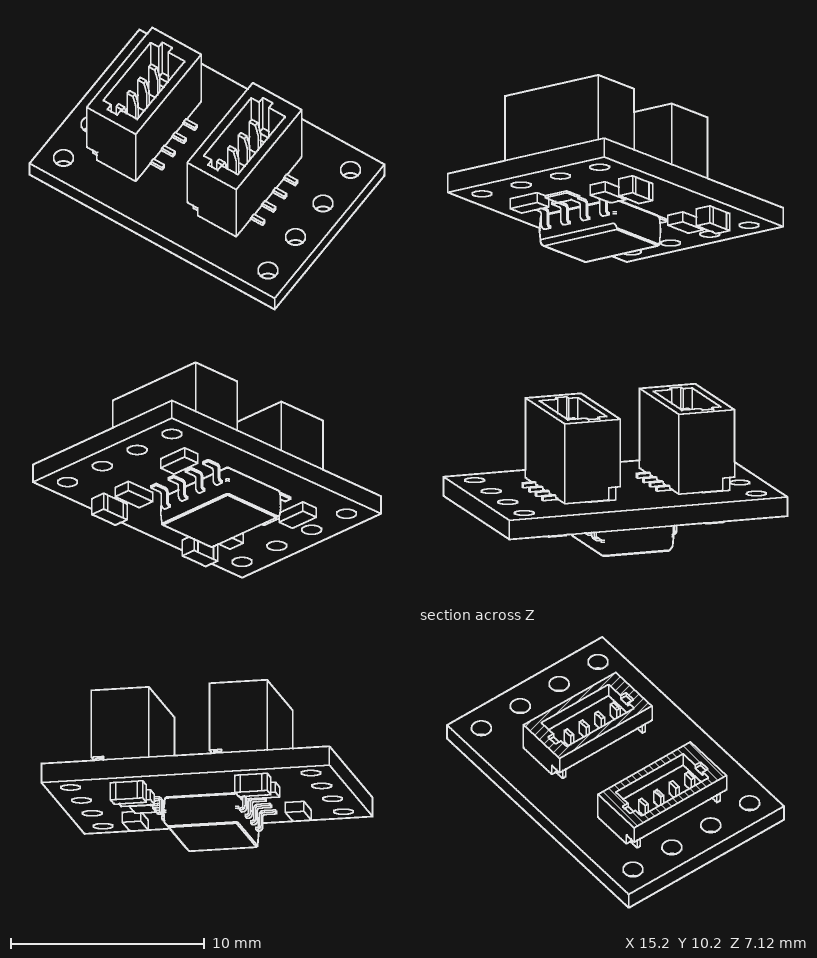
import cadquery as cq
import math


board_length = 15.24
board_width = 10.17
board_thickness = 1.02
board_hole_diameter = 1.02
board_hole_pitch = 2.55
board_hole_rows = 4
board_hole_x = 6.35

connector_first_x = -3.92
connector_spacing = 6.25
connector_count = 2
housing_length = 3.05
housing_width = 6.07
housing_gap = 0.1
housing_top = board_thickness + 4.35
housing_bottom = board_thickness + housing_gap
cavity_length = 2.12
cavity_width = 4.39
cavity_depth = 3.35
key_slot_length = 0.61
key_slot_offset = -0.26
key_slot_span = 5.09
key_slot_depth = 2.75
step_length = 0.64
step_height = 0.76

pin_count = 4
pin_pitch = 1.0
pin_width = 0.21
post_length = 0.55
post_offset = -0.37
post_below_rim = 0.91
post_tip_run = 0.18
post_tip_rise = 0.76
pin_foot_start = 1.42
pin_foot_end = 2.21
pin_foot_height = 0.21
tab_length = 1.5
tab_width = 0.2
tab_inset_x = 0.15
tab_inset_y = 0.32

chip_y = 1.0
chip_length = 3.96
chip_width = 4.97
chip_gap = 0.1
chip_bottom = -1.75
chip_corner_radius = 0.12
chip_draft = 4
chip_upper_chamfer = 0.09
chip_lower_chamfer = 0.06
pin_one_bevel_length = 0.23
pin_one_bevel_height = 0.26
lead_thickness = 0.1
lead_width = 0.4
lead_pitch = 1.26
lead_count = 4
lead_top = -0.87
lead_bottom = lead_top - lead_thickness
lead_outer_x = 2.25
lead_tip_x = 3.0
lead_bend_radius = 0.1
lead_embed = 0.15

resistor_length = 1.75
resistor_width = 0.98
resistor_height = 0.53
side_resistor_outer_x = 4.8
side_resistor_y = 2.3
inner_resistor_x = 3.3
inner_resistor_y = -2.03
capacitor_length = 1.7
capacitor_width = 0.88
capacitor_height = 0.91
terminal_length = 0.29
terminal_lip = 0.02
capacitor_x = 3.29
capacitor_y = -3.83
pad_height = 0.1
pad_outer_x = 4.11
pad_end_y = 0.03


def block(x_min, x_max, y_min, y_max, z_min, z_max):
    """Plain box between the given limits."""
    size = (x_max - x_min, y_max - y_min, z_max - z_min)
    return cq.Workplane("XY").box(*size, centered=False).translate((x_min, y_min, z_min))


def hanging_block(x, y, length, width, height):
    """Box centred on (x, y) that hangs from the board's underside."""
    return block(x - length / 2, x + length / 2, y - width / 2, y + width / 2, -height, 0)


def row(count, pitch):
    """Evenly spaced positions centred on zero."""
    return [(i - (count - 1) / 2) * pitch for i in range(count)]


def make_plate():
    hole_places = [
        (side * board_hole_x, y) for side in (-1, 1) for y in row(board_hole_rows, board_hole_pitch)
    ]
    plate = cq.Workplane("XY").box(
        board_length, board_width, board_thickness, centered=(True, True, False)
    )
    return plate.faces(">Z").workplane().pushPoints(hole_places).hole(board_hole_diameter)


def make_chip_body():
    """Moulded package: two drafted halves on a straight band, bevelled along the pin-one side."""
    outline = cq.Sketch().rect(chip_length, chip_width).vertices().fillet(chip_corner_radius)

    def drafted_half(height, chamfer):
        half = cq.Workplane("XY").rect(chip_length, chip_width).extrude(height, taper=chip_draft)
        half = half.edges("(not #Z) and (not |X) and (not |Y)").fillet(chip_corner_radius)
        return half.faces(">Z").edges().chamfer(chamfer)

    band = cq.Workplane("XY").placeSketch(outline).extrude(lead_thickness).translate((0, 0, lead_bottom))
    upper = drafted_half(-chip_gap - lead_top, chip_upper_chamfer).translate((0, 0, lead_top))
    lower = drafted_half(lead_bottom - chip_bottom, chip_lower_chamfer)
    lower = lower.mirror("XY").translate((0, 0, lead_bottom))

    lower_draft_inset = (lead_bottom - chip_bottom) * math.tan(math.radians(chip_draft))
    bevel_x = -chip_length / 2 + lower_draft_inset
    bevel_slope = pin_one_bevel_height / pin_one_bevel_length
    bevel = (
        cq.Workplane("XZ")
        .moveTo(bevel_x + pin_one_bevel_length, chip_bottom)
        .lineTo(bevel_x - pin_one_bevel_length, chip_bottom + 2 * pin_one_bevel_length * bevel_slope)
        .lineTo(bevel_x - pin_one_bevel_length, chip_bottom)
        .close()
        .extrude(chip_width / 2, both=True)
    )
    return band.union(upper).union(lower.cut(bevel)).translate((0, chip_y, 0))


def make_lead():
    """Gull-wing lead on the -X side, its width centred on Y = 0."""
    outer = lead_bend_radius + lead_thickness
    inner_x = -lead_outer_x + lead_thickness
    lead = (
        cq.Workplane("XZ")
        .moveTo(-lead_tip_x, 0)
        .lineTo(inner_x - outer, 0)
        .radiusArc((inner_x, -outer), outer)
        .lineTo(inner_x, lead_top + lead_bend_radius)
        .radiusArc((inner_x + lead_bend_radius, lead_top), -lead_bend_radius)
        .lineTo(-chip_length / 2 + lead_embed, lead_top)
        .lineTo(-chip_length / 2 + lead_embed, lead_bottom)
        .lineTo(-lead_outer_x + outer, lead_bottom)
        .radiusArc((-lead_outer_x, lead_bottom + outer), outer)
        .lineTo(-lead_outer_x, -outer)
        .radiusArc((-lead_outer_x - lead_bend_radius, -lead_thickness), -lead_bend_radius)
        .lineTo(-lead_tip_x, -lead_thickness)
        .close()
    )
    return lead.extrude(lead_width / 2, both=True)


def make_chip():
    chip = make_chip_body()
    left_lead = make_lead()
    for lead in (left_lead, left_lead.mirror("YZ")):
        for y in row(lead_count, lead_pitch):
            chip = chip.union(lead.translate((0, chip_y + y, 0)))
    return chip


def make_capacitor():
    """Capacitor centred on X = Y = 0, slightly narrower between its end terminals."""
    middle_length = capacitor_length - 2 * terminal_length
    capacitor = hanging_block(0, 0, middle_length, capacitor_width - 2 * terminal_lip, capacitor_height)
    for side in (-1, 1):
        terminal_x = side * (capacitor_length - terminal_length) / 2
        terminal = hanging_block(terminal_x, 0, terminal_length, capacitor_width, capacitor_height)
        capacitor = capacitor.union(terminal)
    return capacitor


def make_passives():
    """Resistors and capacitor on each side of the chip."""
    side_resistor_x = side_resistor_outer_x - resistor_width / 2
    blocks = []
    for side in (-1, 1):
        blocks += [
            hanging_block(
                side * side_resistor_x, side_resistor_y, resistor_width, resistor_length, resistor_height
            ),
            hanging_block(
                side * inner_resistor_x, inner_resistor_y, resistor_length, resistor_width, resistor_height
            ),
            make_capacitor().translate((side * capacitor_x, capacitor_y, 0)),
        ]
    return blocks


def make_pad():
    """Thin pad on the -X side, between the side resistor's end and the chip's lead tips."""
    return block(
        -pad_outer_x,
        -lead_tip_x,
        pad_end_y,
        side_resistor_y - resistor_length / 2,
        -pad_height,
        0,
    )


def make_board():
    board = make_plate().union(make_chip()).union(make_pad())
    for passive in make_passives():
        board = board.union(passive)
    return board


def make_housing():
    left = -housing_length / 2
    half_width = housing_width / 2
    housing = block(left, -left, -half_width, half_width, housing_bottom, housing_top)
    step_top = board_thickness + step_height
    step = block(left, left + step_length, -half_width, half_width, housing_bottom, step_top)
    cavity = cq.Workplane("XY").workplane(offset=housing_top).rect(cavity_length, cavity_width)
    cavity = cavity.extrude(-cavity_depth)
    key_slots = cq.Workplane("XY").workplane(offset=housing_top).center(key_slot_offset, 0)
    key_slots = key_slots.rect(key_slot_length, key_slot_span).extrude(-key_slot_depth)
    return housing.cut(step).cut(cavity).cut(key_slots)


def make_pin():
    """Post that stands on the cavity floor, and foot that reaches the board beside the housing."""
    left = post_offset - post_length / 2
    right = post_offset + post_length / 2
    floor = housing_top - cavity_depth
    tip = housing_top - post_below_rim
    post = (
        cq.Workplane("XZ")
        .moveTo(left, floor)
        .lineTo(left, tip)
        .lineTo(right - post_tip_run, tip)
        .lineTo(right, tip - post_tip_rise)
        .lineTo(right, floor)
        .close()
        .extrude(pin_width / 2, both=True)
    )
    foot = block(
        pin_foot_start,
        pin_foot_end,
        -pin_width / 2,
        pin_width / 2,
        board_thickness,
        board_thickness + pin_foot_height,
    )
    return post, foot


def make_tab():
    """Solder tab on the +Y side, under the housing and in its step."""
    left = -housing_length / 2 + tab_inset_x
    step_end = -housing_length / 2 + step_length
    outer_y = housing_width / 2 - tab_inset_y
    inner_y = outer_y - tab_width
    upright = block(left, step_end, inner_y, outer_y, board_thickness, board_thickness + step_height)
    foot = block(left, left + tab_length, inner_y, outer_y, board_thickness, housing_bottom)
    return upright.union(foot)


def make_connector(x):
    connector = make_housing()
    post, foot = make_pin()
    for y in row(pin_count, pin_pitch):
        connector = connector.union(post.translate((0, y, 0))).union(foot.translate((0, y, 0)))
    tab = make_tab()
    connector = connector.union(tab).union(tab.mirror("XZ"))
    return connector.translate((x, 0, 0))


board = make_board()
connectors = [make_connector(connector_first_x + i * connector_spacing) for i in range(connector_count)]

result = cq.Compound.makeCompound([board.val(), *[connector.val() for connector in connectors]])